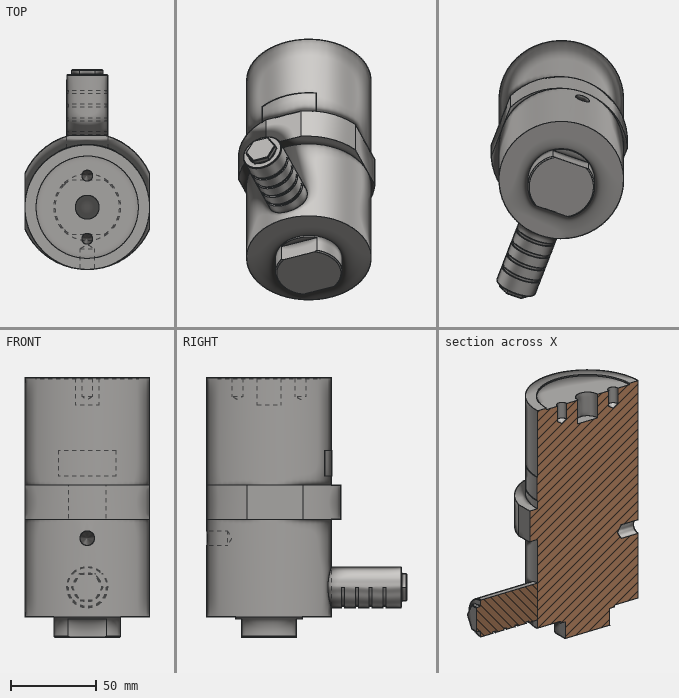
import cadquery as cq
import math

total_height = 152.0
housing_diameter = 73.0
housing_radius = housing_diameter / 2
foot_height = 12.0
housing_height = total_height - foot_height

recess_diameter = 59.9
recess_depth = 0.9
recess_floor = total_height - recess_depth

center_hole_diameter = 14.0
center_hole_depth = 15.2
pin_hole_diameter = 6.4
pin_hole_depth = 10.0
pin_hole_spacing = 37.0

side_hole_diameter = 8.5
side_hole_depth = 12.2
side_hole_height = 58.0
drill_point_angle = 118.0

collar_radius = 40.0
collar_bottom = 69.0
collar_height = 20.0
collar_center_y = collar_radius - housing_radius
collar_back_y = 42.0

foot_diameter = 39.0
foot_flats_width = 32.0
foot_shoulder = 1.2
foot_chamfer = 0.8

pad_width = 33.7
pad_height = 15.0
pad_center_height = 101.8
pad_thickness = 0.3

connector_height = 29.3
connector_end_y = 80.5
hex_across_flats = 16.0
hex_length = 2.7
hex_chamfer = 0.5
neck_diameter = 16.9
neck_length = 0.3
barrel_diameter = 24.0
barrel_radius = barrel_diameter / 2
barrel_chamfer = 0.5
barrel_end_y = connector_end_y - hex_length - neck_length

groove_count = 4
groove_width = 1.8
groove_depth = 0.9
groove_pitch = 8.0
first_groove_inset = 10.0


def cylinder_z(diameter, bottom, height):
    """Vertical cylinder on the Z axis."""
    return cq.Workplane("XY").workplane(offset=bottom).circle(diameter / 2).extrude(height)


def cylinder_y(diameter, start_y, length):
    """Cylinder on the connector axis, running toward +Y from start_y."""
    plane = cq.Plane(origin=(0, start_y, connector_height), xDir=(1, 0, 0), normal=(0, 1, 0))
    return cq.Workplane(plane).circle(diameter / 2).extrude(length)


def drilled_hole(diameter, depth, mouth, direction):
    """Blind hole with a conical drill point, starting at mouth and running along direction."""
    radius = diameter / 2
    point_length = radius / math.tan(math.radians(drill_point_angle / 2))
    bore = cq.Solid.makeCylinder(radius, depth, mouth, direction)
    point = cq.Solid.makeCone(radius, 0, point_length, mouth + direction * depth, direction)
    return cq.Workplane(bore.fuse(point))


def make_collar():
    blank = cylinder_z(2 * collar_radius, collar_bottom, collar_height).translate((0, collar_center_y, 0))
    depth = housing_radius + collar_back_y
    limits = cq.Workplane("XY").box(housing_diameter, depth, collar_height, centered=(True, False, False))
    return blank.intersect(limits.translate((0, -housing_radius, collar_bottom)))


def make_foot():
    foot = cylinder_z(foot_diameter, 0, foot_height).faces("<Z").chamfer(foot_chamfer)
    flats_height = foot_height - foot_shoulder
    shoulder = cylinder_z(foot_diameter, flats_height, foot_shoulder)
    flats = cq.Workplane("XY").box(
        foot_diameter, foot_flats_width, flats_height, centered=(True, True, False)
    )
    return foot.intersect(flats.union(shoulder))


def make_pad():
    bottom = pad_center_height - pad_height / 2
    outer_diameter = housing_diameter + 2 * pad_thickness
    shell = cylinder_z(outer_diameter, bottom, pad_height)
    window = cq.Workplane("XY").box(pad_width, outer_diameter, pad_height, centered=(True, False, False))
    return shell.intersect(window.translate((0, 0, bottom)))


def make_housing():
    body = cylinder_z(housing_diameter, foot_height, housing_height)
    body = body.union(make_collar()).union(make_foot()).union(make_pad())
    body = body.cut(cylinder_z(recess_diameter, recess_floor, recess_depth))
    body = body.cut(cylinder_z(center_hole_diameter, recess_floor - center_hole_depth, center_hole_depth))

    for side in (-1, 1):
        mouth = cq.Vector(0, side * pin_hole_spacing / 2, recess_floor)
        body = body.cut(drilled_hole(pin_hole_diameter, pin_hole_depth, mouth, cq.Vector(0, 0, -1)))

    side_mouth = cq.Vector(0, -housing_radius, side_hole_height)
    return body.cut(drilled_hole(side_hole_diameter, side_hole_depth, side_mouth, cq.Vector(0, 1, 0)))


def make_groove(center_y):
    """Half ring below the connector axis, to be cut from the barrel."""
    start_y = center_y - groove_width / 2
    ring = cylinder_y(barrel_diameter, start_y, groove_width)
    ring = ring.cut(cylinder_y(barrel_diameter - 2 * groove_depth, start_y, groove_width))
    lower_half = cq.Workplane("XY").box(
        barrel_diameter, groove_width, barrel_radius, centered=(True, False, False)
    )
    return ring.intersect(lower_half.translate((0, start_y, connector_height - barrel_radius)))


def make_hex_end():
    plane = cq.Plane(
        origin=(0, connector_end_y - hex_length, connector_height), xDir=(1, 0, 0), normal=(0, 1, 0)
    )
    across_corners = hex_across_flats / math.cos(math.radians(30))
    return cq.Workplane(plane).polygon(6, across_corners).extrude(hex_length).faces(">Y").chamfer(hex_chamfer)


def make_connector():
    barrel = cylinder_y(barrel_diameter, 0, barrel_end_y).faces(">Y").chamfer(barrel_chamfer)
    barrel = barrel.cut(cylinder_z(housing_diameter, foot_height, housing_height))
    for index in range(groove_count):
        center_y = barrel_end_y - first_groove_inset - index * groove_pitch
        barrel = barrel.cut(make_groove(center_y))
    neck = cylinder_y(neck_diameter, barrel_end_y, neck_length)
    return barrel.union(neck).union(make_hex_end())


housing = make_housing()
connector = make_connector()

result = cq.Compound.makeCompound([housing.val(), connector.val()])